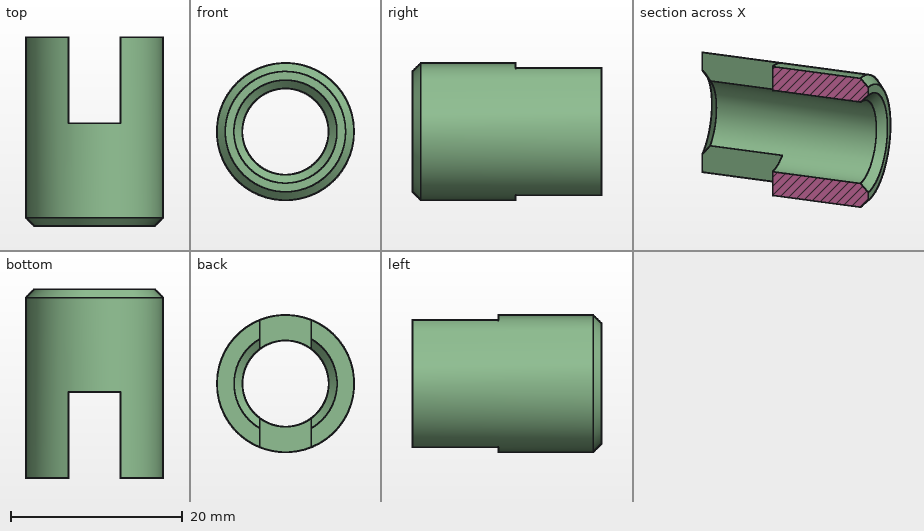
import cadquery as cq

length = 22.0
outer_diameter = 16.0
bore_diameter = 10.0
chamfer = 1.0
slot_width = 6.0
slot_depth = 10.0

outer_radius = outer_diameter / 2
bore_radius = bore_diameter / 2


def sleeve():
    """Tube along Y, chamfered outside at the front and inside at both ends."""
    half_section = (
        cq.Workplane("XY")
        .moveTo(bore_radius + chamfer, 0)
        .lineTo(outer_radius - chamfer, 0)
        .lineTo(outer_radius, chamfer)
        .lineTo(outer_radius, length)
        .lineTo(bore_radius + chamfer, length)
        .lineTo(bore_radius, length - chamfer)
        .lineTo(bore_radius, chamfer)
        .close()
    )
    return half_section.revolve(360, (0, 0, 0), (0, 1, 0))


def cross_slot():
    """Slot open at the back end, passing through the top and bottom walls."""
    return cq.Workplane("XY").box(slot_width, slot_depth, outer_diameter).translate(
        (0, length - slot_depth / 2, 0)
    )


result = sleeve().cut(cross_slot())